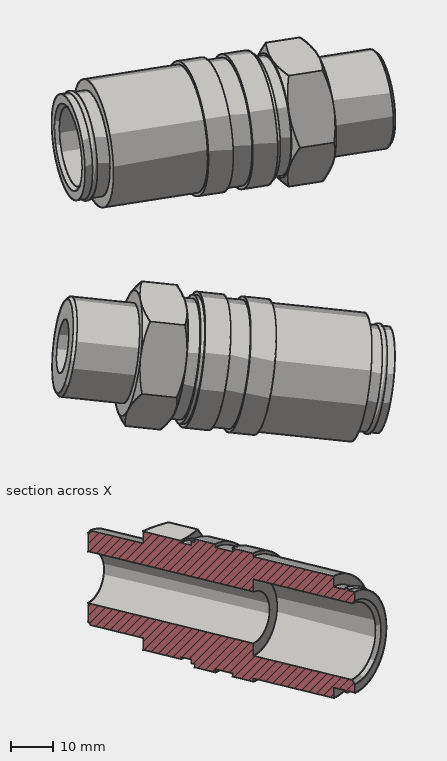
import cadquery as cq
import math

length = 78.0

hex_across_corners = 34.6
hex_start = 50.85
hex_end = 62.0
hex_chamfer_angle = 30.0

spigot_radius = 12.8
bead_radius = 13.25
sleeve_radius = 15.45
collar_radius = 32.5 / 2
neck_radius = 14.5
thread_radius = 12.0

sleeve_start = 6.25
sleeve_end = 47.9
collar_starts = (29.7, 40.8)
collar_width = 6.2
bead_center = 2.5
bead_section_radius = 0.6
thread_chamfer = 0.8

through_radius = 6.5
socket_radius = 9.6
socket_mouth_radius = 10.5
socket_mouth_depth = socket_mouth_radius - socket_radius
socket_depth = 29.65

overlap = 0.8


def cylinder(radius, start, end):
    """Solid cylinder on the Y axis between two Y positions."""
    return cq.Workplane("XZ", origin=(0, start, 0)).circle(radius).extrude(start - end)


def revolve_about_y(points):
    """Solid of revolution from (radius, Y) points."""
    return cq.Workplane("XY").polyline(points).close().revolve(360, (0, 0, 0), (0, 1, 0))


def make_bead():
    """Round retaining bead that protrudes from the spigot."""
    ring_radius = bead_radius - bead_section_radius
    return (
        cq.Workplane("XY")
        .center(ring_radius, bead_center)
        .circle(bead_section_radius)
        .revolve(360, (-ring_radius, 0, 0), (-ring_radius, 1, 0))
    )


def make_hexagon():
    """Hexagon with corners on X and conical chamfers on both ends."""
    prism = (
        cq.Workplane("XZ", origin=(0, hex_start, 0))
        .polygon(6, hex_across_corners)
        .extrude(hex_start - hex_end)
    )
    corner_radius = hex_across_corners / 2
    face_radius = corner_radius * math.cos(math.pi / 6)
    drop = (corner_radius - face_radius) * math.tan(math.radians(hex_chamfer_angle))
    envelope = revolve_about_y([
        (0, hex_start),
        (face_radius, hex_start),
        (corner_radius, hex_start + drop),
        (corner_radius, hex_end - drop),
        (face_radius, hex_end),
        (0, hex_end),
    ])
    return prism.intersect(envelope)


def make_threaded_end():
    """Plain male end with a chamfered rim."""
    end = cylinder(thread_radius, hex_end - overlap, length)
    return end.faces(">Y").chamfer(thread_chamfer)


def make_bore():
    """Through hole with a wider socket that flares at its mouth."""
    return revolve_about_y([
        (0, 0),
        (socket_mouth_radius, 0),
        (socket_radius, socket_mouth_depth),
        (socket_radius, socket_depth),
        (through_radius, socket_depth),
        (through_radius, length),
        (0, length),
    ])


body = cylinder(spigot_radius, 0, sleeve_start + overlap)
body = body.union(make_bead())
body = body.union(cylinder(sleeve_radius, sleeve_start, sleeve_end))
for collar_start in collar_starts:
    body = body.union(cylinder(collar_radius, collar_start, collar_start + collar_width))
body = body.union(cylinder(neck_radius, sleeve_end - overlap, hex_start + overlap))
body = body.union(make_hexagon())
body = body.union(make_threaded_end())

result = body.cut(make_bore())